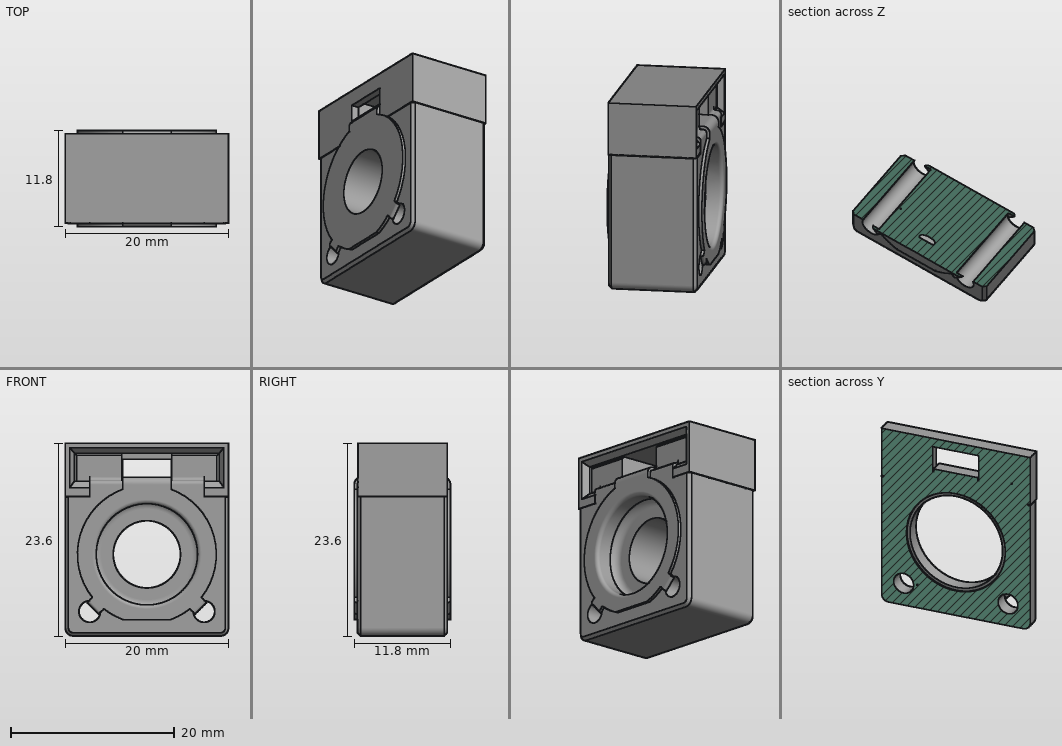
import cadquery as cq
import math


MID_DEPTH = 0.0

HALF_WIDTH = 10.0
BODY_BOTTOM = -10.0
BODY_TOP = 7.03
BODY_HALF_DEPTH = 5.5
BODY_CORNER_RADIUS = 1.0
BODY_CHAMFER = 0.4

CAP_BOTTOM = 7.1
CAP_TOP = 13.6
CAP_FRONT = -5.45
CAP_BACK = BODY_HALF_DEPTH
GROOVE_DEPTH = 0.3

MOUTH_HALF_WIDTH = 9.43
MOUTH_BOTTOM = 8.18
MOUTH_TOP = 13.03
POCKET_HALF_WIDTH = 8.87
POCKET_BOTTOM = 8.96
POCKET_TOP = 12.4
MOUTH_DEPTH = 0.8

PANEL_FRONT = -4.57
PANEL_CHAMFER = 0.3
POCKET_FLOOR = PANEL_FRONT + PANEL_CHAMFER

SLOT_HALF_WIDTH = 3.07
WINDOW_TOP = 11.61
BACK_WALL = 1.0

SHOULDER_HALF_WIDTH = 7.0
SHOULDER_RADIUS = 0.5
SHOULDER_CREST = SHOULDER_RADIUS - BODY_HALF_DEPTH
ROUND_START = 8.55
NECK_HALF_WIDTH = 2.97
NECK_RADIUS = 0.9
SLOT_BOTTOM = ROUND_START + SHOULDER_RADIUS
NECK_TOP = ROUND_START + NECK_RADIUS

FLANGE_HALF_DEPTH = 5.9
FLANGE_RADIUS = 8.5
FLANGE_FLAT = -8.0
FLANGE_THICKNESS = FLANGE_HALF_DEPTH - BODY_HALF_DEPTH
TAB_WIDTH = 2.0
TAB_REACH = 9.35
TAB_ROUND = 0.35
TAB_ANGLE = 45.0

CORNER_HOLE_DIAMETER = 2.6
CORNER_HOLE_OFFSET = 7.0
BORE_DIAMETER = 8.2
SEAT_DIAMETER = 12.4
SEAT_DEPTH = 3.45
SEAT_MOUTH_ROUND = 0.48
UNDERCUT_DIAMETER = 13.2
UNDERCUT_START = 2.2
UNDERCUT_FILLET = 1.0


def block(half_width, y_front, y_back, z_bottom, z_top):
    """Box centred on X = 0 between the given Y and Z limits."""
    size = (2 * half_width, y_back - y_front, z_top - z_bottom)
    return cq.Workplane("XY").box(*size, centered=(True, False, False)).translate((0, y_front, z_bottom))


def cylinder(diameter, x, z):
    """Cylinder along Y, long enough to pass through the whole part."""
    profile = cq.Workplane("XZ").center(x, z).circle(diameter / 2)
    return profile.extrude(FLANGE_HALF_DEPTH, both=True)


def make_body():
    body = block(HALF_WIDTH, -BODY_HALF_DEPTH, BODY_HALF_DEPTH, BODY_BOTTOM, BODY_TOP)
    body = body.edges("|Y and <Z").fillet(BODY_CORNER_RADIUS)
    for face in ("<Y", ">Y"):
        body = body.faces(face).edges("not >Z").chamfer(BODY_CHAMFER)
    return body


def make_core():
    """Recessed block that joins the body to the cap across the groove."""
    y_front = CAP_FRONT + GROOVE_DEPTH
    y_back = CAP_BACK - GROOVE_DEPTH
    return block(HALF_WIDTH - GROOVE_DEPTH, y_front, y_back, 0, CAP_BOTTOM + GROOVE_DEPTH)


def make_recess():
    mouth_centre = (MOUTH_TOP + MOUTH_BOTTOM) / 2
    pocket_centre = (POCKET_TOP + POCKET_BOTTOM) / 2
    mouth = (
        cq.Workplane("XZ", origin=(0, CAP_FRONT, mouth_centre))
        .rect(2 * MOUTH_HALF_WIDTH, MOUTH_TOP - MOUTH_BOTTOM)
        .workplane(offset=-MOUTH_DEPTH)
        .center(0, pocket_centre - mouth_centre)
        .rect(2 * POCKET_HALF_WIDTH, POCKET_TOP - POCKET_BOTTOM)
        .loft(ruled=True)
    )
    pocket = block(POCKET_HALF_WIDTH, CAP_FRONT + MOUTH_DEPTH, POCKET_FLOOR, POCKET_BOTTOM, POCKET_TOP)
    return mouth.union(pocket)


def make_panel():
    panel = block(POCKET_HALF_WIDTH, PANEL_FRONT, MID_DEPTH, POCKET_BOTTOM, POCKET_TOP)
    return panel.faces("<Y").edges("not <Z").chamfer(PANEL_CHAMFER)


def rounded_ledge(half_width, half_depth, radius, y_back):
    """Ledge along X whose upper front edge is rounded."""
    ledge = block(half_width, -half_depth, y_back, BODY_TOP - GROOVE_DEPTH, ROUND_START + radius)
    return ledge.edges("|X and >Z and <Y").fillet(radius)


def make_shoulder():
    """Ledge under the recess whose flat top sweeps up into the panel with a hollow fillet."""
    shoulder = rounded_ledge(SHOULDER_HALF_WIDTH, BODY_HALF_DEPTH, SHOULDER_RADIUS, MID_DEPTH)
    crest_height = ROUND_START + SHOULDER_RADIUS
    fillet_radius = PANEL_FRONT - SHOULDER_CREST
    hollow_top = crest_height + fillet_radius
    hollow_fillet = (
        cq.Workplane("YZ", origin=(-SHOULDER_HALF_WIDTH, 0, 0))
        .moveTo(SHOULDER_CREST, crest_height)
        .radiusArc((PANEL_FRONT, hollow_top), -fillet_radius)
        .lineTo(MID_DEPTH, hollow_top)
        .lineTo(MID_DEPTH, crest_height)
        .close()
        .extrude(2 * SHOULDER_HALF_WIDTH)
    )
    return shoulder.union(hollow_fillet)


def make_slot():
    slot = block(SLOT_HALF_WIDTH, CAP_FRONT, CAP_BACK - BACK_WALL, SLOT_BOTTOM, POCKET_TOP)
    window = block(NECK_HALF_WIDTH, MID_DEPTH, CAP_BACK, NECK_TOP, WINDOW_TOP)
    return slot.union(window)


def make_tab(side):
    """Rounded finger of the flange that points at a lower corner hole."""
    tab = cq.Workplane("XY").box(TAB_REACH, FLANGE_THICKNESS, TAB_WIDTH, centered=(False, False, True))
    tab = tab.edges("|Z and >X and <Y").fillet(TAB_ROUND)
    tab = tab.translate((0, -FLANGE_HALF_DEPTH, 0)).rotate((0, 0, 0), (0, 1, 0), TAB_ANGLE)
    return tab if side > 0 else tab.mirror("YZ")


def make_flange():
    """Front flange: flattened disc, two corner tabs and the rounded neck."""
    flange = cq.Workplane("XZ", origin=(0, -BODY_HALF_DEPTH, 0)).circle(FLANGE_RADIUS)
    flange = flange.extrude(FLANGE_THICKNESS)
    keep = block(FLANGE_RADIUS, -FLANGE_HALF_DEPTH, MID_DEPTH, FLANGE_FLAT, FLANGE_RADIUS)
    above_neck = block(NECK_HALF_WIDTH, -FLANGE_HALF_DEPTH, MID_DEPTH, BODY_TOP, FLANGE_RADIUS)
    flange = flange.intersect(keep).cut(above_neck)
    for side in (-1, 1):
        flange = flange.union(make_tab(side))
    return flange.union(rounded_ledge(NECK_HALF_WIDTH, FLANGE_HALF_DEPTH, NECK_RADIUS, MID_DEPTH))


def make_seat():
    """Stepped seat, revolved about Y, with a rounded mouth and a filleted undercut."""
    seat_radius = SEAT_DIAMETER / 2
    undercut_radius = UNDERCUT_DIAMETER / 2
    front = -FLANGE_HALF_DEPTH
    floor = front + SEAT_DEPTH
    diagonal = 1 - math.sqrt(0.5)
    mouth_middle = SEAT_MOUTH_ROUND * diagonal
    fillet_middle = UNDERCUT_FILLET * diagonal
    return (
        cq.Workplane("XY")
        .moveTo(0, front)
        .lineTo(seat_radius + SEAT_MOUTH_ROUND, front)
        .threePointArc(
            (seat_radius + mouth_middle, front + mouth_middle),
            (seat_radius, front + SEAT_MOUTH_ROUND),
        )
        .lineTo(seat_radius, front + UNDERCUT_START)
        .lineTo(undercut_radius, front + UNDERCUT_START)
        .lineTo(undercut_radius, floor - UNDERCUT_FILLET)
        .threePointArc(
            (undercut_radius - fillet_middle, floor - fillet_middle),
            (undercut_radius - UNDERCUT_FILLET, floor),
        )
        .lineTo(0, floor)
        .close()
        .revolve(360, (0, 0, 0), (0, 1, 0))
    )


def make_part():
    cap = block(HALF_WIDTH, CAP_FRONT, CAP_BACK, CAP_BOTTOM, CAP_TOP)
    cap = cap.cut(make_recess()).union(make_panel())
    part = make_body().union(make_core()).union(cap)
    part = part.union(make_shoulder()).cut(make_slot())
    for x in (-CORNER_HOLE_OFFSET, CORNER_HOLE_OFFSET):
        part = part.cut(cylinder(CORNER_HOLE_DIAMETER, x, -CORNER_HOLE_OFFSET))
    front_flange = make_flange()
    part = part.union(front_flange).union(front_flange.mirror("XZ"))
    return part.cut(make_seat()).cut(cylinder(BORE_DIAMETER, 0, 0))


result = make_part()